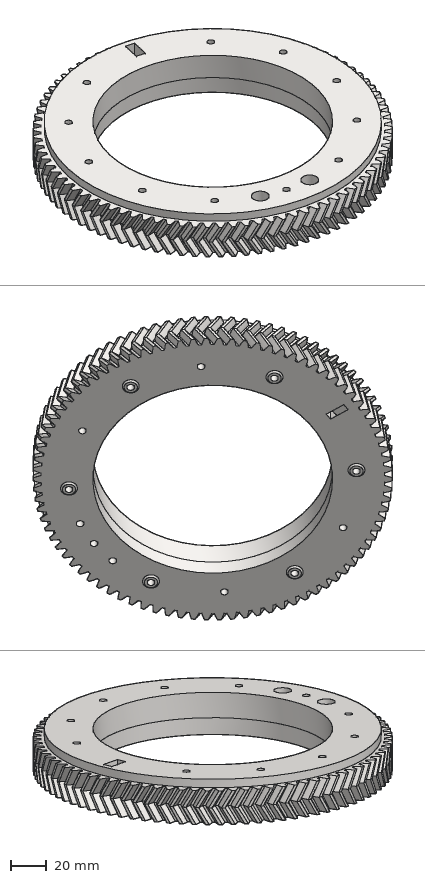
import cadquery as cq
import math

tooth_count = 86
tip_diameter = 202.43
normal_module = 2.0
helix_angle = math.radians(30)
normal_pressure_angle = math.radians(20)
dedendum_factor = 1.25
flank_points = 5
gear_width = 10.0

pitch_radius = tooth_count * normal_module / math.cos(helix_angle) / 2
tip_radius = tip_diameter / 2
root_radius = pitch_radius - dedendum_factor * normal_module
pressure_angle = math.atan(math.tan(normal_pressure_angle) / math.cos(helix_angle))
base_radius = pitch_radius * math.cos(pressure_angle)
tooth_pitch = 2 * math.pi / tooth_count
twist_degrees = math.degrees(gear_width * math.tan(helix_angle) / pitch_radius)

bore_diameter = 135.0
collar_diameter = 190.0
collar_height = 5.0
total_height = 2 * gear_width + collar_height

bolt_circle_radius = (bore_diameter + collar_diameter) / 4
bolt_positions = 12
bolt_hole_diameter = 4.2
pattern_turn = -2.0
slot_position = bolt_positions // 2
position_angles = [pattern_turn + position * 360 / bolt_positions for position in range(bolt_positions)]
slot_angle = position_angles[slot_position]
bolt_angles = [angle for angle in position_angles if angle != slot_angle]

counterbore_diameter = 10.0
counterbore_hole_diameter = 4.3
counterbore_offset_angle = 11.5
counterbore_angles = [pattern_turn - counterbore_offset_angle, pattern_turn + counterbore_offset_angle]

slot_length = 12.0
slot_inner_radius = 79.2
slot_outer_radius = slot_inner_radius + slot_length
wide_slot_width = 6.0
narrow_slot_width = 4.3

wedge_top_length = 3.2
wedge_slope_run = 4.6

foot_top_diameter = 9.5
foot_bottom_diameter = 7.5
foot_height = 1.0
foot_angles = position_angles[1::2]


def polar(radius, angle):
    return (radius * math.cos(angle), radius * math.sin(angle))


def half_tooth_angle(radius):
    """Angle from the tooth's centre line to its involute flank."""
    def involute(angle):
        return math.tan(angle) - angle

    return tooth_pitch / 4 + involute(pressure_angle) - involute(math.acos(base_radius / radius))


def helical_half():
    """Solid helical gear from z = 0 upward, one tooth starting on +X and turning counterclockwise."""
    flank_radii = [
        root_radius + (tip_radius - root_radius) * i / (flank_points - 1) for i in range(flank_points)
    ]
    root_half_angle = half_tooth_angle(root_radius)
    outline = cq.Workplane("XY").moveTo(*polar(root_radius, -root_half_angle))
    for tooth in range(tooth_count):
        centre = tooth * tooth_pitch
        rising = [polar(r, centre - half_tooth_angle(r)) for r in flank_radii]
        falling = [polar(r, centre + half_tooth_angle(r)) for r in reversed(flank_radii)]
        outline = outline.spline(rising[1:], includeCurrent=True)
        outline = outline.threePointArc(polar(tip_radius, centre), falling[0])
        outline = outline.spline(falling[1:], includeCurrent=True)
        outline = outline.threePointArc(
            polar(root_radius, centre + tooth_pitch / 2),
            polar(root_radius, centre + tooth_pitch - root_half_angle),
        )
    return outline.close().twistExtrude(gear_width, twist_degrees)


def disc(diameter, bottom, top):
    """Cylinder about the Z axis."""
    return cq.Workplane("XY").workplane(offset=bottom).circle(diameter / 2).extrude(top - bottom)


def pins_at(angles, diameter):
    """Cutting cylinders on the bolt circle at angles in degrees, from under the feet to the top."""
    points = [polar(bolt_circle_radius, math.radians(angle)) for angle in angles]
    base = cq.Workplane("XY").workplane(offset=-foot_height)
    return base.pushPoints(points).circle(diameter / 2).extrude(foot_height + total_height)


def turned_to_slot(shape):
    """Turns a shape drawn along +X to the slot's position."""
    return shape.rotate((0, 0, 0), (0, 0, 1), slot_angle)


def slot_cutter(width):
    """Full-height radial box in the slot's position."""
    box = cq.Workplane("XY").box(slot_length, width, total_height, centered=(False, True, False))
    return turned_to_slot(box.translate((slot_inner_radius, 0, 0)))


def make_upper_gear():
    gear = helical_half().translate((0, 0, gear_width))
    gear = gear.union(disc(collar_diameter, 2 * gear_width, total_height))
    gear = gear.cut(disc(bore_diameter, 0, total_height))
    gear = gear.cut(pins_at(bolt_angles, bolt_hole_diameter))
    gear = gear.cut(pins_at(counterbore_angles, counterbore_diameter))
    return gear.cut(slot_cutter(wide_slot_width))


def make_foot(angle):
    """Conical foot that narrows downward, on the bolt circle at an angle in degrees."""
    foot = (
        cq.Workplane("XY")
        .circle(foot_top_diameter / 2)
        .workplane(offset=-foot_height)
        .circle(foot_bottom_diameter / 2)
        .loft()
    )
    return foot.translate((*polar(bolt_circle_radius, math.radians(angle)), 0))


def make_lower_gear():
    gear = helical_half().mirror("XY").translate((0, 0, gear_width))
    for angle in foot_angles:
        gear = gear.union(make_foot(angle))
    gear = gear.cut(disc(bore_diameter, 0, gear_width))
    gear = gear.cut(pins_at(bolt_angles, bolt_hole_diameter))
    gear = gear.cut(pins_at(counterbore_angles, counterbore_hole_diameter))
    return gear.cut(slot_cutter(narrow_slot_width))


def make_wedge():
    """Wedge at the outer end of the narrow slot, sloping down outward from the upper gear's seat."""
    top_outer_radius = slot_outer_radius - wedge_slope_run
    inner_radius = top_outer_radius - wedge_top_length
    profile = [
        (inner_radius, 0),
        (slot_outer_radius, 0),
        (top_outer_radius, gear_width),
        (inner_radius, gear_width),
    ]
    wedge = cq.Workplane("XZ").polyline(profile).close().extrude(narrow_slot_width / 2, both=True)
    return turned_to_slot(wedge)


upper_gear = make_upper_gear()
lower_gear = make_lower_gear()
wedge = make_wedge()

result = cq.Compound.makeCompound([upper_gear.val(), lower_gear.val(), wedge.val()])